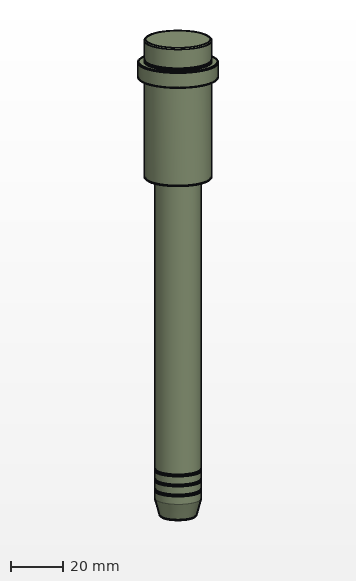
import cadquery as cq

total_length = 190.0
flange_top_depth = 9.0
flange_bottom_depth = 15.4
sleeve_end_depth = 55.3

flange_radius = 31.0 / 2
sleeve_radius = 26.0 / 2
shaft_radius = 18.0 / 2
tip_radius = 14.5 / 2

head_chamfer = 0.5
flange_chamfer = 0.4
sleeve_chamfer = 0.5
relief_width = 1.0
relief_depth = 0.4

tip_length = 7.2
tip_chamfer = 0.5

groove_count = 3
groove_pitch = 4.0
groove_width = 1.0
groove_depth = 0.4
lowest_groove_height = 10.6


def disc(radius, top_depth, bottom_depth):
    """Solid cylinder on the Z axis between two depths below the top face."""
    return cq.Workplane("XY").workplane(offset=-bottom_depth).circle(radius).extrude(bottom_depth - top_depth)


def vee_cutter(outer_radius, depth, width, center_z):
    """Ring of triangular section that cuts a V groove into a cylinder."""
    return (
        cq.Workplane("XZ")
        .moveTo(outer_radius, center_z - width / 2)
        .lineTo(outer_radius - depth, center_z)
        .lineTo(outer_radius, center_z + width / 2)
        .close()
        .revolve(360, (0, 0, 0), (0, 1, 0))
    )


def make_sleeve():
    """Head and guide sleeve with the relief groove above the flange seat."""
    sleeve = disc(sleeve_radius, 0, sleeve_end_depth)
    sleeve = sleeve.faces(">Z").chamfer(head_chamfer).faces("<Z").chamfer(sleeve_chamfer)
    relief_center_z = -flange_top_depth + relief_width / 2
    return sleeve.cut(vee_cutter(sleeve_radius, relief_depth, relief_width, relief_center_z))


def make_flange():
    flange = disc(flange_radius, flange_top_depth, flange_bottom_depth)
    return flange.faces("<Z or >Z").chamfer(flange_chamfer)


def make_shaft():
    """Long shaft, revolved together with its conical taper and tip chamfer."""
    bottom_z = -total_length
    taper_start_z = bottom_z + tip_length
    taper_end_z = bottom_z + tip_chamfer
    shaft = (
        cq.Workplane("XZ")
        .moveTo(0, bottom_z)
        .lineTo(tip_radius - tip_chamfer, bottom_z)
        .lineTo(tip_radius, taper_end_z)
        .lineTo(shaft_radius, taper_start_z)
        .lineTo(shaft_radius, -flange_bottom_depth)
        .lineTo(0, -flange_bottom_depth)
        .close()
        .revolve(360, (0, 0, 0), (0, 1, 0))
    )
    for index in range(groove_count):
        groove_center_z = bottom_z + lowest_groove_height + index * groove_pitch
        shaft = shaft.cut(vee_cutter(shaft_radius, groove_depth, groove_width, groove_center_z))
    return shaft


result = make_sleeve().union(make_flange()).union(make_shaft())